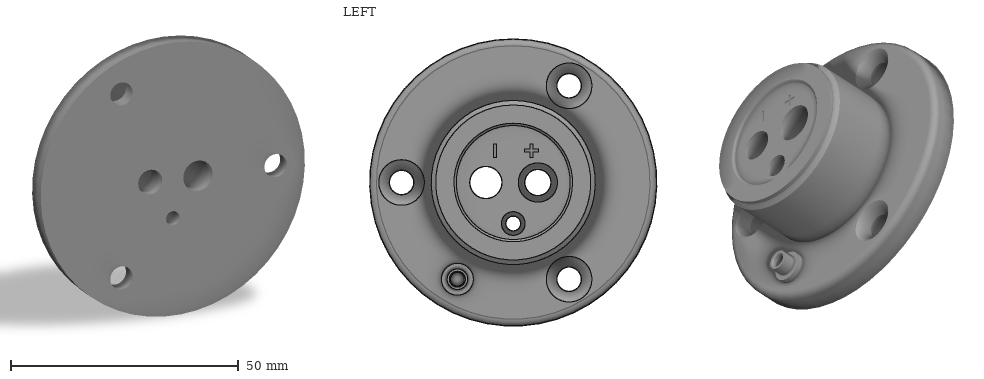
import cadquery as cq
import math

flange_radius = 31.5
flange_thickness = 6.0
flange_edge_radius = 1.5

body_radius = 18.0
body_length = 18.0
tip_radius = 17.0
tip_length = 1.0
body_chamfer = body_radius - tip_radius

recess_radius = 13.0
recess_depth = 0.5
recess_floor_radius = recess_radius - recess_depth

bolt_circle_radius = 24.5
screw_angles = (0, 120, 240)
screw_hole_radius = 2.65
countersink_radius = 5.0
pin_angle = 300

collar_radius = 3.5
collar_height = 1.5
post_radius = 2.25
pin_height = 4.5
pin_bore_radius = 1.5
pin_bore_bevel = 0.25
pin_bore_depth = 3.0

negative_y, negative_z = 6.0, 0.0
negative_radius = 3.5
positive_y, positive_z = -5.4, 0.0
positive_radius = 2.85
positive_counterbore_radius = 4.3
pilot_y, pilot_z = 0.0, -9.0
pilot_radius = 1.6
pilot_counterbore_radius = 2.6

mark_y_offset = 4.0
mark_z = 7.0
mark_length = 3.0
mark_width = 0.6
mark_depth = 0.2

flange_front_x = -flange_thickness
tip_x = flange_front_x - body_length
recess_floor_x = tip_x + recess_depth
pin_tip_x = flange_front_x - pin_height
counterbore_depth = body_length - recess_depth


def cylinder(x, y, z, radius, length):
    """Cylinder that starts at (x, y, z) and runs toward +X."""
    return cq.Workplane(cq.Solid.makeCylinder(radius, length, cq.Vector(x, y, z), cq.Vector(1, 0, 0)))


def cone(x, y, z, start_radius, end_radius, length):
    """Truncated cone that starts at (x, y, z) and runs toward +X."""
    return cq.Workplane(
        cq.Solid.makeCone(start_radius, end_radius, length, cq.Vector(x, y, z), cq.Vector(1, 0, 0))
    )


def bolt_circle_point(angle):
    """Y and Z on the bolt circle, with the angle measured from +Y toward +Z."""
    radians = math.radians(angle)
    return bolt_circle_radius * math.cos(radians), bolt_circle_radius * math.sin(radians)


def make_flange():
    flange = cylinder(flange_front_x, 0, 0, flange_radius, flange_thickness)
    return flange.faces("<X").edges().fillet(flange_edge_radius)


def make_body():
    chamfer_x = tip_x + tip_length
    barrel_x = chamfer_x + body_chamfer
    tip = cylinder(tip_x, 0, 0, tip_radius, tip_length)
    shoulder = cone(chamfer_x, 0, 0, tip_radius, body_radius, body_chamfer)
    barrel = cylinder(barrel_x, 0, 0, body_radius, -barrel_x)
    return barrel.union(shoulder).union(tip)


def make_pin():
    y, z = bolt_circle_point(pin_angle)
    collar = cylinder(flange_front_x - collar_height, y, z, collar_radius, collar_height)
    post = cylinder(pin_tip_x, y, z, post_radius, pin_height)
    bore = cylinder(pin_tip_x, y, z, pin_bore_radius, pin_bore_depth)
    bevel = cone(pin_tip_x, y, z, pin_bore_radius + pin_bore_bevel, pin_bore_radius, pin_bore_bevel)
    return collar.union(post).cut(bore).cut(bevel)


def make_screw_hole(angle):
    y, z = bolt_circle_point(angle)
    countersink_depth = countersink_radius - screw_hole_radius
    hole = cylinder(flange_front_x, y, z, screw_hole_radius, flange_thickness)
    countersink = cone(flange_front_x, y, z, countersink_radius, screw_hole_radius, countersink_depth)
    return hole.union(countersink)


def make_contact_hole(y, z, radius):
    return cylinder(tip_x, y, z, radius, -tip_x)


def make_counterbore(y, z, radius):
    return cylinder(recess_floor_x, y, z, radius, counterbore_depth)


def make_mark_bar(y, width_y, width_z):
    bar = cq.Workplane("XY").box(mark_depth, width_y, width_z, centered=(False, True, True))
    return bar.translate((recess_floor_x, y, mark_z))


result = make_flange().union(make_body()).union(make_pin())

for screw_angle in screw_angles:
    result = result.cut(make_screw_hole(screw_angle))

result = result.cut(cone(tip_x, 0, 0, recess_radius, recess_floor_radius, recess_depth))

result = result.cut(make_contact_hole(negative_y, negative_z, negative_radius))
result = result.cut(make_contact_hole(positive_y, positive_z, positive_radius))
result = result.cut(make_counterbore(positive_y, positive_z, positive_counterbore_radius))
result = result.cut(make_contact_hole(pilot_y, pilot_z, pilot_radius))
result = result.cut(make_counterbore(pilot_y, pilot_z, pilot_counterbore_radius))

result = result.cut(make_mark_bar(mark_y_offset, mark_width, mark_length))
result = result.cut(make_mark_bar(-mark_y_offset, mark_width, mark_length))
result = result.cut(make_mark_bar(-mark_y_offset, mark_length, mark_width))